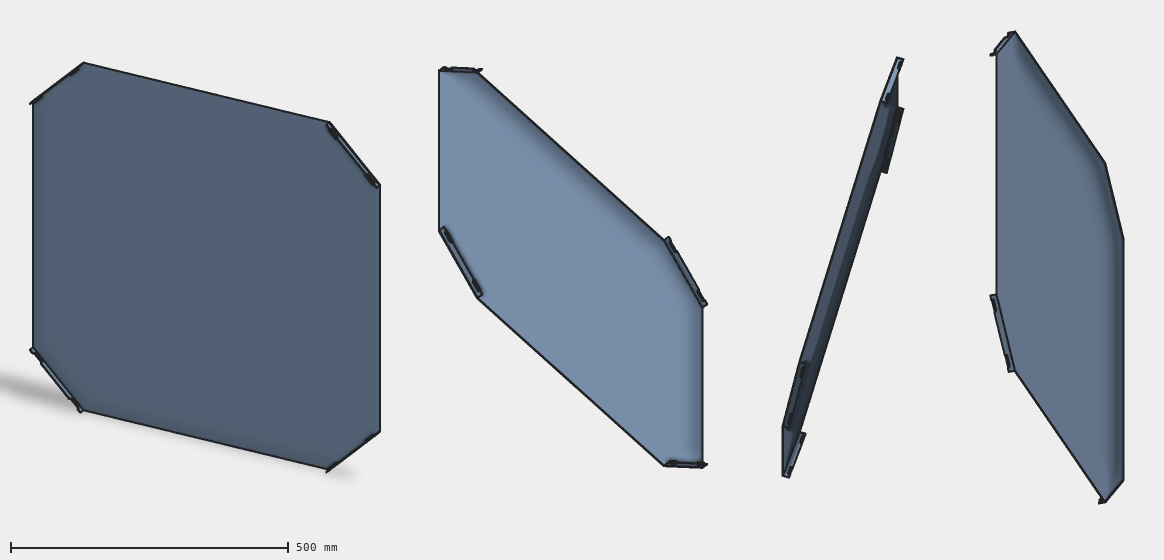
import cadquery as cq
import math

overall_size = 706.48
panel_size = 706.0
corner_leg = 102.5
sheet = 1.25
flange_depth = 12.5

recess_end_gap = 8.25
recess_length = 23.5
recess_height = 4.0
recess_corner_radius = 3.4
recess_depth = 3.0
wall_draft = 30.0

tip_overhang = (overall_size - panel_size) / 2
flange_length = (corner_leg + 2 * tip_overhang) * math.sqrt(2)
flange_distance = (panel_size - corner_leg) / math.sqrt(2)
plate_back = flange_depth / 2
free_edge = -flange_depth / 2
recess_offset = flange_length / 2 - recess_end_gap - recess_length / 2
draft_angle = math.radians(wall_draft)
wall_growth = sheet * (1 / math.cos(draft_angle) - math.tan(draft_angle))


def make_plate():
    """Square panel, thin along Y, with its four corners cut off at 45 degrees."""
    return (
        cq.Workplane("XZ", origin=(0, plate_back, 0))
        .rect(panel_size, panel_size)
        .extrude(sheet)
        .edges("|Y")
        .chamfer(corner_leg)
    )


def flange_block(thickness):
    """Block of the flange's length and depth, reaching down from its outer face."""
    return (
        cq.Workplane("XY", origin=(0, 0, flange_distance))
        .rect(flange_length, flange_depth)
        .extrude(-thickness)
    )


def drafted_block(centre_x, top, growth):
    """Rounded block centred on the free edge, narrowing downwards from `top` by the draft.

    Its outline is the recess outline grown by `growth` on every side.
    """
    return (
        cq.Workplane("XY", origin=(centre_x, free_edge, top))
        .sketch()
        .rect(recess_length + 2 * growth, 2 * (recess_height + growth))
        .vertices()
        .fillet(recess_corner_radius + growth)
        .finalize()
        .extrude(-recess_depth, taper=wall_draft)
    )


def make_flange():
    """Flange along X with its outer face towards +Z, and its two pressed recesses."""
    flange = flange_block(sheet)
    pressing_room = flange_block(sheet + recess_depth)
    for centre_x in (-recess_offset, recess_offset):
        bulge = drafted_block(centre_x, flange_distance - sheet, wall_growth)
        hollow = drafted_block(centre_x, flange_distance, 0)
        flange = flange.union(bulge.intersect(pressing_room)).cut(hollow)
    return flange


def make_part():
    """Plate joined with a flange on each of the four cut corners."""
    part = make_plate()
    flange = make_flange()
    for corner_angle in (45, 135, 225, 315):
        part = part.union(flange.rotate((0, 0, 0), (0, 1, 0), corner_angle))
    return part


result = make_part()